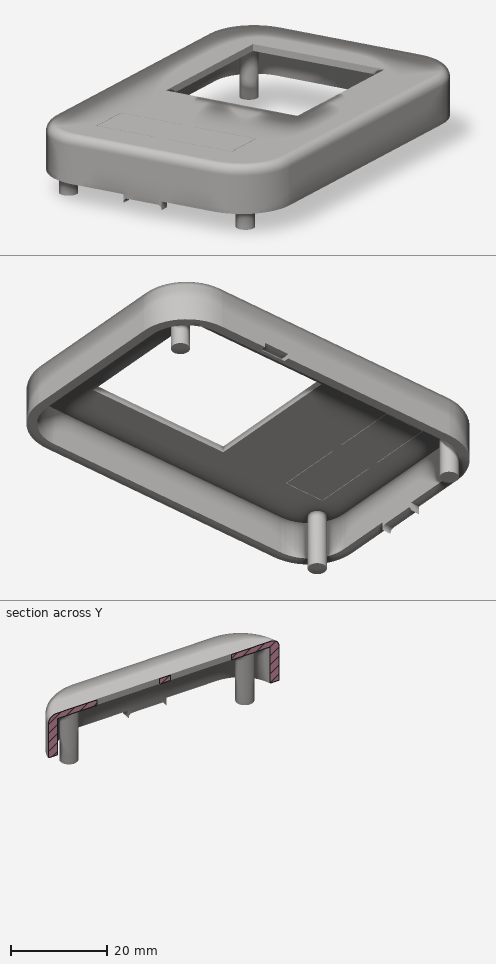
import cadquery as cq

case_width = 57.2
case_length = 84.7
total_height = 14.8
pin_projection = 4.3
case_height = total_height - pin_projection
corner_radius = 11.5
top_edge_radius = 2.0
wall = 2.2
lid_thickness = 1.5

window_width = 32.0
window_length = 35.2
window_center_y = 11.0

button_width = 32.8
button_length = 9.9
button_center_x = -0.1
button_center_y = -28.75
slit_width = 0.1
bridge_width = 2.8
bridge_center_x = -0.3

pin_diameter = 4.0
pin_spacing_x = 43.0
pin_center_x = -0.15
pin_spacing_y = 72.8
pin_center_y = -0.1

tab_width = 9.3
tab_drop = 1.9
tab_center_x = -0.15
opening_corner_radius = 0.9
opening_width = 9.2
opening_top = -0.85

notch_length = 6.3
notch_height = 1.1
notch_center_y = 16.0
notch_ramp_start = 1.3


def block(width, length, bottom, top, center=(0, 0)):
    """Upright box between two heights, centred on an XY point."""
    return (
        cq.Workplane("XY", origin=(center[0], center[1], bottom))
        .rect(width, length)
        .extrude(top - bottom)
    )


def make_shell():
    """Rounded cover with an open underside."""
    body = block(case_width, case_length, 0, case_height)
    body = body.edges("|Z").fillet(corner_radius)
    body = body.faces(">Z").edges().fillet(top_edge_radius)
    cavity = block(case_width - 2 * wall, case_length - 2 * wall, 0, case_height - lid_thickness)
    cavity = cavity.edges("|Z").fillet(corner_radius - wall)
    return body.cut(cavity)


def make_window():
    center = (0, window_center_y)
    return block(window_width, window_length, 0, case_height, center)


def make_button_slit():
    """Rectangular slit through the lid, interrupted by a bridge on each long side."""
    center = (button_center_x, button_center_y)
    outer = block(button_width, button_length, 0, case_height, center)
    panel = block(button_width - 2 * slit_width, button_length - 2 * slit_width, 0, case_height, center)
    bridges = block(bridge_width, button_length, 0, case_height, (bridge_center_x, button_center_y))
    return outer.cut(panel).cut(bridges)


def make_pins():
    """Three pins from the lid down past the rim; the +X +Y corner has none."""
    right = pin_center_x + pin_spacing_x / 2
    left = right - pin_spacing_x
    back = pin_center_y + pin_spacing_y / 2
    front = back - pin_spacing_y
    return (
        cq.Workplane("XY", origin=(0, 0, -pin_projection))
        .pushPoints([(left, front), (right, front), (left, back)])
        .circle(pin_diameter / 2)
        .extrude(total_height - lid_thickness / 2)
    )


def make_tab():
    """Tab whose lower edge is straight with a quarter round down to each tip."""
    center = (tab_center_x, (wall - case_length) / 2)
    tab = block(tab_width, wall, -tab_drop, 0, center)
    opening = block(opening_width, wall, -tab_drop - opening_corner_radius, opening_top, center)
    opening = opening.edges("|Y and >Z").fillet(opening_corner_radius)
    return tab.cut(opening)


def make_notch():
    """Notch whose floor is a ramp, rising from the rim to the notch top at the inner wall face."""
    outer_x = -case_width / 2
    return (
        cq.Workplane("XZ", origin=(outer_x, notch_center_y, 0))
        .moveTo(0, 0)
        .lineTo(notch_ramp_start, 0)
        .lineTo(wall, notch_height)
        .lineTo(0, notch_height)
        .close()
        .extrude(notch_length / 2, both=True)
    )


result = (
    make_shell()
    .cut(make_window())
    .cut(make_button_slit())
    .cut(make_notch())
    .union(make_pins())
    .union(make_tab())
)